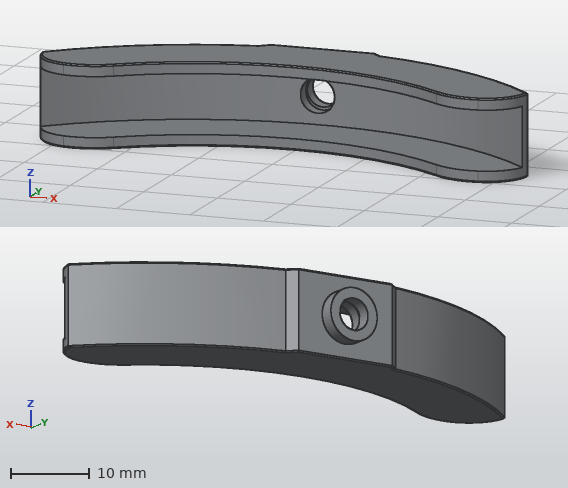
import cadquery as cq
import math

half_length = 33.0
height = 11.0
arc_center_y = -47.45
outer_radius = 47.05
band_width = 9.95
inner_radius = outer_radius - band_width

end_seam_x = 28.2
end_seam_y = -19.1
end_inner_x = 22.0

pad_half_width = 7.05
pad_base_half_width = 8.3

boss_diameter = 7.0
boss_height = 2.05
bore_diameter = 4.2
wall_hole_diameter = 4.6
wall_hole_z = -0.2

slot_height = 8.0
wall_thickness = 1.5

edge_chamfer = 0.2


def arc_y(radius, x):
    """Y of the upper half of a circle about the arc centre."""
    return arc_center_y + math.sqrt(radius**2 - x**2)


def make_band():
    """Curved solid with the flat pad and the rounded ends."""
    tip_y = arc_y(outer_radius, half_length)
    shoulder_y = arc_y(outer_radius, pad_base_half_width)
    arc_mid_x = (half_length + pad_base_half_width) / 2
    arc_mid_y = arc_y(outer_radius, arc_mid_x)
    inner_y = arc_y(inner_radius, end_inner_x)
    inner_top_y = arc_center_y + inner_radius

    half = (
        cq.Workplane("XY")
        .workplane(offset=-height / 2)
        .moveTo(0, inner_top_y)
        .threePointArc((end_inner_x / 2, arc_y(inner_radius, end_inner_x / 2)), (end_inner_x, inner_y))
        .tangentArcPoint((end_seam_x, end_seam_y), relative=False)
        .tangentArcPoint((half_length, tip_y), relative=False)
        .threePointArc((arc_mid_x, arc_mid_y), (pad_base_half_width, shoulder_y))
        .lineTo(pad_half_width, 0)
        .lineTo(0, 0)
        .close()
        .extrude(height)
    )
    band = half.union(half.mirror("YZ"), clean=True)
    return band.faces("<Z or >Z").edges().chamfer(edge_chamfer)


def make_slot():
    """Cutter for the channel, its floor being the outer arc moved toward -Y."""
    return (
        cq.Workplane("XY")
        .center(0, arc_center_y - wall_thickness)
        .circle(outer_radius)
        .extrude(slot_height / 2, both=True)
    )


def cylinder_along_y(diameter, y_start, y_end, z=0):
    """Cylinder parallel to Y between two Y positions."""
    plane = cq.Plane(origin=(0, y_start, z), xDir=(1, 0, 0), normal=(0, 1, 0))
    return cq.Workplane(plane).circle(diameter / 2).extrude(y_end - y_start)


boss = cylinder_along_y(boss_diameter, -wall_thickness, boss_height)
bore = cylinder_along_y(bore_diameter, arc_center_y, boss_height)
wall_hole = cylinder_along_y(wall_hole_diameter, arc_center_y, 0, wall_hole_z)

result = make_band().cut(make_slot()).union(boss).cut(bore).cut(wall_hole)